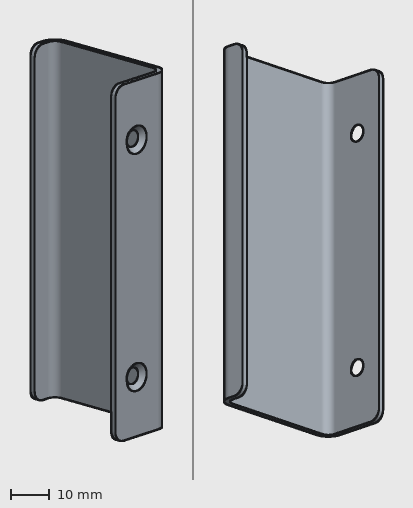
import cadquery as cq
import math

width = 40.0
depth = 20.0
height = 96.0
short_flange_depth = 9.0

thickness = 1.5
outer_bend_radius = 3.9
inner_bend_radius = outer_bend_radius - thickness
corner_radius = 3.0

hole_diameter = 4.4
countersink_angle = 90.0
hole_end_distance = 16.0
hole_edge_distance = 8.0

back_y = depth / 2
front_y = -depth / 2
short_flange_y = back_y - short_flange_depth
half_height = height / 2

countersink_taper = countersink_angle / 2
countersink_diameter = hole_diameter + 2 * thickness * math.tan(math.radians(countersink_taper))


def channel_block(half_width, back, bend_radius):
    """Full-depth block with its two back vertical edges rounded."""
    block = cq.Workplane("XY").box(2 * half_width, back - front_y, height)
    block = block.edges("|Z and >Y").fillet(bend_radius)
    return block.translate((0, (back + front_y) / 2, 0))


def bent_channel():
    """Web with two flanges of equal depth, bent at constant thickness."""
    outer = channel_block(width / 2, back_y, outer_bend_radius)
    inner = channel_block(width / 2 - thickness, back_y - thickness, inner_bend_radius)
    return outer.cut(inner)


def shorten_left_flange(channel):
    """Trim the -X flange to its shorter depth."""
    trim = cq.Workplane("XY").box(width / 2, short_flange_y - front_y, height)
    return channel.cut(trim.translate((-width / 4, (short_flange_y + front_y) / 2, 0)))


def round_flange_corners(channel):
    """Round the free corners at both ends of each flange."""
    for x, free_y in ((-width / 2, short_flange_y), (width / 2, front_y)):
        for z in (-half_height, half_height):
            corner = cq.selectors.NearestToPointSelector((x, free_y, z))
            channel = channel.edges("|X").edges(corner).fillet(corner_radius)
    return channel


def add_mounting_holes(channel):
    """Drill two holes through the +X flange, countersunk to its inner face from outside."""
    hole_y = front_y + hole_edge_distance
    hole_z = half_height - hole_end_distance
    countersink = (
        cq.Workplane("YZ", origin=(width / 2, 0, 0))
        .pushPoints([(hole_y, -hole_z), (hole_y, hole_z)])
        .circle(countersink_diameter / 2)
        .extrude(-thickness, taper=countersink_taper)
    )
    return channel.cut(countersink)


channel = shorten_left_flange(bent_channel())
channel = round_flange_corners(channel)
result = add_mounting_holes(channel)